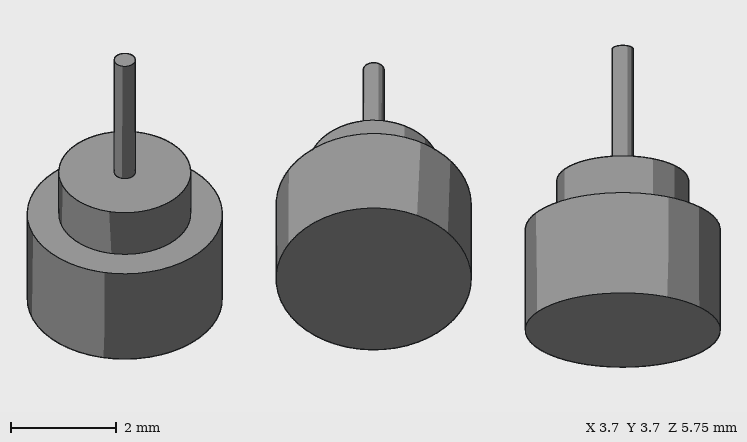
import cadquery as cq

total_height = 5.75
base_diameter = 3.7
base_height = 2.05
collar_diameter = 2.5
collar_height = 1.0
pin_diameter = 0.4
pin_length = total_height - base_height - collar_height


def cylinder(diameter, height, bottom):
    """Upright cylinder on the Z axis, starting at the given height."""
    return cq.Workplane("XY").workplane(offset=bottom).circle(diameter / 2).extrude(height)


base = cylinder(base_diameter, base_height, 0)
collar = cylinder(collar_diameter, collar_height, base_height)
pin = cylinder(pin_diameter, pin_length, base_height + collar_height)

result = base.union(collar).union(pin)